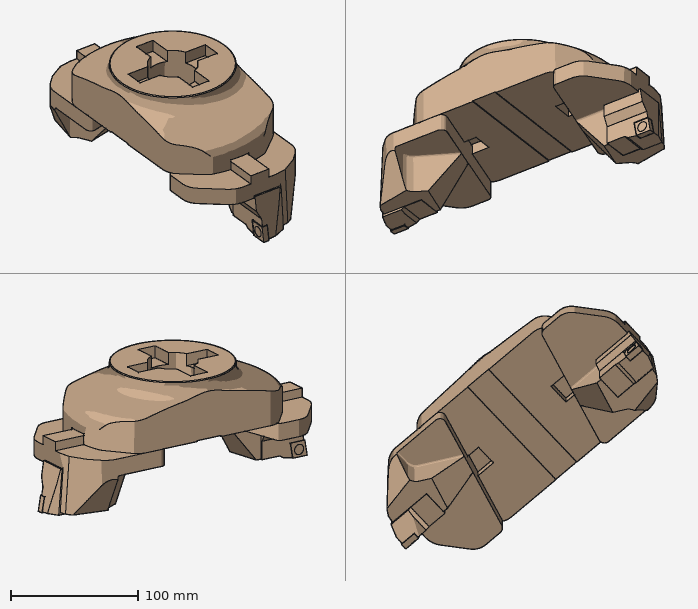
import cadquery as cq
import math


HALF_WIDTH = 52.0
KEY_WIDTH = 17.5
FAR = 150.0
PICK_REACH = 0.2

HOUSING_TOP = 50.0
HOUSING_RADIUS = 90.0
RIM_RADIUS = 50.0
RIM_HEIGHT = 3.2
RIM_CHAMFER = 0.7
NECK_FILLET = 12.0
SHOULDER_FILLET = 13.7
SHOULDER_HEIGHT = 15.0
CORNER_ANGLE = 50.0
HOUSING_FLAT_X = 65.0
HOUSING_CORNER_FILLET = 15.0
BORE_DIAMETER = 40.0
BORE_DEPTH = 35.0
CROSS_LENGTH = 75.0
CROSS_WIDTH = 16.0
CROSS_DEPTH = 10.0
KEYWAY_HEIGHT = 9.0
RELIEF_LENGTH = 22.0
RELIEF_DEPTH = 0.7

PLATE_THICKNESS = 14.2
PLATE_END = 116.2
FLARE_STOCK = 5.0
PLATE_FLAT_X = 92.0
BACK_FLAT_X = 94.0
INNER_FRONT_X = 65.7
INNER_BACK_X = 38.2
PLATE_FRONT_FILLET = 15.5
PLATE_BACK_FILLET = 17.0
PLATE_END_FILLET = 20.0
PLATE_INNER_FILLET = 5.0
KEY_HEIGHT = 7.5

BLOCK_BOTTOM = -48.0
BLOCK_FRONT_Y = 0.0
BLOCK_WALL_X = -85.7
FLUTE_START_Y = -34.5
FLUTE_ANGLE = 28.0
FLUTE_FILLET = 10.0
ROOT_FILLET = 1.5
INNER_SLOPE = ((-48.5, -12.7, -14.2), (-78.7, 0.0, -48.0), (-51.7, 0.0, -14.2))
BACK_SLOPE = ((-85.7, -37.2, -47.0), (-85.7, -52.0, -17.5), (-114.0, -31.7, -47.0))
BOTTOM_SLOPE = ((-125.0, 0.0, BLOCK_BOTTOM), (-50.0, 0.0, BLOCK_BOTTOM), (-125.0, -37.2, -47.2))
SIDE_FLARE = ((-116.2, -15.2, 0.0), (-118.0, -26.0, -47.5), (-114.5, -26.0, 0.0))
BACK_FLARE = ((-114.5, -26.0, 0.0), (-118.0, -26.0, -47.5), (-106.7, -39.0, 0.0))

TOOTH_INNER_X = -83.0
TOOTH_TOP = -12.0
TOOTH_BACK_Y = -20.0
TOOTH_SHELF_Y = 5.7
TOOTH_FACE_Y = 1.7
SHELF_BOTTOM = -24.7
TOOTH_FACE_TOP = -32.5
TOOTH_BOTTOM_FRONT = -51.5
TOOTH_BOTTOM_BACK = -49.7
TOOTH_TOP_X = -117.7
TOOTH_SHELF_X = -119.7
TOOTH_TIP = (-124.5, -51.7)
TIP_LAND_X = -111.5
HEEL_TOE = (-103.0, -50.2)
HEEL_X = -99.7
TOOTH_BACK_RELIEF = ((-117.7, -18.7, -12.0), (-124.0, -10.2, -49.7), (-120.5, -20.0, -49.7))

INSERT_FRONT_Y = 2.5
INSERT_THICKNESS = 5.2
INSERT_TOP = -39.0
INSERT_BOTTOM = -52.0
INSERT_TIP_X = -125.0
INSERT_LENGTH = 13.5
INSERT_LEAN = 2.2
SCREW_X = -117.2
SCREW_Z = -45.7
SCREW_HEAD_DIAMETER = 8.5
SCREW_SHANK_DIAMETER = 5.5
SCREW_HEAD_HEIGHT = 2.0


def beyond(first, second, third):
    """Large solid on the side of the plane through three points that they circle anticlockwise."""
    a, b, c = (cq.Vector(*point) for point in (first, second, third))
    plane = cq.Plane(origin=a, xDir=b - a, normal=(b - a).cross(c - a))
    return cq.Workplane(plane).rect(2 * FAR, 2 * FAR).extrude(FAR)


def housing_turned_shape():
    """Turned blank: rim, concave neck, conical shoulder and rounded outer edge."""
    rim_z = HOUSING_TOP - RIM_HEIGHT
    neck_x = RIM_RADIUS + NECK_FILLET
    shoulder_x = HOUSING_RADIUS - SHOULDER_FILLET
    centre_gap_x = shoulder_x - neck_x
    centre_gap_z = rim_z - SHOULDER_HEIGHT
    centre_gap = math.hypot(centre_gap_x, centre_gap_z)
    gap_lean = math.atan2(centre_gap_x, centre_gap_z)
    slope = math.acos((NECK_FILLET + SHOULDER_FILLET) / centre_gap) - gap_lean

    def neck_point(angle):
        return neck_x - NECK_FILLET * math.sin(angle), rim_z - NECK_FILLET * math.cos(angle)

    def shoulder_point(angle):
        return (
            shoulder_x + SHOULDER_FILLET * math.sin(angle),
            SHOULDER_HEIGHT + SHOULDER_FILLET * math.cos(angle),
        )

    right_angle = math.pi / 2
    return (
        cq.Workplane("XZ")
        .moveTo(0, 0)
        .lineTo(0, HOUSING_TOP)
        .lineTo(RIM_RADIUS - RIM_CHAMFER, HOUSING_TOP)
        .lineTo(RIM_RADIUS, HOUSING_TOP - RIM_CHAMFER)
        .lineTo(RIM_RADIUS, rim_z)
        .threePointArc(neck_point((slope + right_angle) / 2), neck_point(slope))
        .lineTo(*shoulder_point(slope))
        .threePointArc(shoulder_point((slope + right_angle) / 2), (HOUSING_RADIUS, SHOULDER_HEIGHT))
        .lineTo(HOUSING_RADIUS, 0)
        .close()
        .revolve(360, (0, 0, 0), (0, 1, 0))
    )


def housing_outline():
    """Prism of the housing's plan shape: long flat sides, angled corners and round ends."""
    end_y = HALF_WIDTH - (HOUSING_RADIUS - HOUSING_FLAT_X) * math.tan(math.radians(CORNER_ANGLE))
    corner = (HOUSING_FLAT_X, HALF_WIDTH)
    end = (HOUSING_RADIUS, end_y)
    points = [corner, end]
    points += [(x, -y) for x, y in reversed(points)]
    points += [(-x, -y) for x, y in points]
    ends = cq.Workplane("XY").circle(HOUSING_RADIUS).extrude(HOUSING_TOP)
    prism = cq.Workplane("XY").polyline(points).close().extrude(HOUSING_TOP)
    return prism.intersect(ends).edges("|Z").fillet(HOUSING_CORNER_FILLET)


def make_housing():
    top = cq.Workplane("XY").workplane(offset=HOUSING_TOP)
    bore = top.circle(BORE_DIAMETER / 2).extrude(-BORE_DEPTH)
    cross = top.rect(CROSS_LENGTH, CROSS_WIDTH).extrude(-CROSS_DEPTH)
    cross = cross.union(top.rect(CROSS_WIDTH, CROSS_LENGTH).extrude(-CROSS_DEPTH))
    relief = cq.Workplane("XY").rect(RELIEF_LENGTH, 2 * FAR).extrude(RELIEF_DEPTH)
    housing = housing_turned_shape().intersect(housing_outline()).cut(bore).cut(cross).cut(relief)
    for side in (-1, 1):
        keyway = cq.Workplane("XY").center(side * (INNER_BACK_X + FAR / 2), 0).rect(FAR, KEY_WIDTH)
        housing = housing.cut(keyway.extrude(KEYWAY_HEIGHT))
    return housing


def plate_prism(bottom, top):
    """Prism of the plate outline, with extra stock behind the tooth for the flared faces."""
    end_y = HALF_WIDTH - (PLATE_END - PLATE_FLAT_X) * math.tan(math.radians(CORNER_ANGLE))
    step_x = PLATE_END + FLARE_STOCK
    step_y = -HALF_WIDTH + step_x - BACK_FLAT_X
    points = [
        (-INNER_FRONT_X, HALF_WIDTH),
        (-PLATE_FLAT_X, HALF_WIDTH),
        (-PLATE_END, end_y),
        (-PLATE_END, TOOTH_BACK_Y),
        (-step_x, TOOTH_BACK_Y),
        (-step_x, step_y),
        (-BACK_FLAT_X, -HALF_WIDTH),
        (-INNER_BACK_X, -HALF_WIDTH),
    ]
    prism = cq.Workplane("XY").workplane(offset=bottom).polyline(points).close().extrude(top - bottom)

    def corner(index):
        x, y = points[index]
        return cq.selectors.BoxSelector(
            (x - PICK_REACH, y - PICK_REACH, bottom), (x + PICK_REACH, y + PICK_REACH, top)
        )

    fillets = (
        (0, PLATE_INNER_FILLET),
        (1, PLATE_FRONT_FILLET),
        (2, PLATE_END_FILLET),
        (6, PLATE_BACK_FILLET),
        (7, PLATE_INNER_FILLET),
    )
    for index, radius in fillets:
        prism = prism.edges(corner(index)).fillet(radius)
    return prism


def block_footprint():
    """Prism of the block's plan shape: flat front, flute behind it and the wall that ends the flute."""
    inner_x = -INNER_BACK_X
    rise = (inner_x - BLOCK_WALL_X) * math.tan(math.radians(FLUTE_ANGLE))
    corner = (BLOCK_WALL_X, FLUTE_START_Y)
    points = [
        (-FAR, BLOCK_FRONT_Y),
        (-FAR, -FAR),
        (BLOCK_WALL_X, -FAR),
        corner,
        (inner_x, FLUTE_START_Y + rise),
        (inner_x, BLOCK_FRONT_Y),
    ]
    prism = cq.Workplane("XY").workplane(offset=BLOCK_BOTTOM).polyline(points).close().extrude(-BLOCK_BOTTOM)
    near_corner = cq.selectors.NearestToPointSelector((*corner, BLOCK_BOTTOM / 2))
    return prism.edges("|Z").edges(near_corner).fillet(FLUTE_FILLET)


def make_tooth():
    """Tooth with a stepped front, two outer clearance slopes, a heel and a relieved back."""
    side = [
        (TOOTH_BACK_Y, TOOTH_TOP),
        (TOOTH_SHELF_Y, TOOTH_TOP),
        (TOOTH_SHELF_Y, SHELF_BOTTOM),
        (TOOTH_FACE_Y, TOOTH_FACE_TOP),
        (TOOTH_FACE_Y, TOOTH_BOTTOM_FRONT),
        (TOOTH_BACK_Y, TOOTH_BOTTOM_BACK),
    ]
    front = [
        (TOOTH_INNER_X, TOOTH_TOP),
        (TOOTH_TOP_X, TOOTH_TOP),
        (TOOTH_SHELF_X, SHELF_BOTTOM),
        TOOTH_TIP,
        (TIP_LAND_X, TOOTH_TIP[1]),
        HEEL_TOE,
        (HEEL_X, BLOCK_BOTTOM),
        (TOOTH_INNER_X, BLOCK_BOTTOM),
    ]
    tooth = cq.Workplane("YZ").polyline(side).close().extrude(-FAR)
    tooth = tooth.intersect(cq.Workplane("XZ").polyline(front).close().extrude(FAR, both=True))
    return tooth.cut(beyond(*TOOTH_BACK_RELIEF))


def root_edges():
    """Selector of the inside edges where the block's front, flute and wall meet the plate."""
    inner_x = -(INNER_FRONT_X + INNER_BACK_X) / 2
    return cq.selectors.BoxSelector(
        (BLOCK_WALL_X - PICK_REACH, -HALF_WIDTH + PICK_REACH, -PLATE_THICKNESS - PICK_REACH),
        (inner_x, BLOCK_FRONT_Y + PICK_REACH, -PLATE_THICKNESS + PICK_REACH),
    )


def make_holder():
    plate = plate_prism(-PLATE_THICKNESS, 0)
    block = plate_prism(BLOCK_BOTTOM, 0).intersect(block_footprint())
    holder = plate.union(block).edges(root_edges()).fillet(ROOT_FILLET)
    for face in (INNER_SLOPE, BACK_SLOPE, BOTTOM_SLOPE, SIDE_FLARE, BACK_FLARE):
        holder = holder.cut(beyond(*face))
    key_strip = cq.Workplane("XY").box(2 * FAR, KEY_WIDTH, 2 * KEY_HEIGHT)
    key = plate_prism(-PLATE_THICKNESS, KEY_HEIGHT).intersect(key_strip)
    return holder.union(key).union(make_tooth())


def make_insert_blank():
    points = [
        (INSERT_TIP_X, INSERT_BOTTOM),
        (INSERT_TIP_X + INSERT_LENGTH, INSERT_BOTTOM),
        (INSERT_TIP_X + INSERT_LENGTH + INSERT_LEAN, INSERT_TOP),
        (INSERT_TIP_X + INSERT_LEAN, INSERT_TOP),
    ]
    front = cq.Workplane("XZ", origin=(0, INSERT_FRONT_Y, 0))
    return front.polyline(points).close().extrude(INSERT_THICKNESS)


def make_screw():
    head = SCREW_HEAD_DIAMETER / 2
    shank = SCREW_SHANK_DIAMETER / 2
    points = [(0, 0), (head, 0), (shank, -SCREW_HEAD_HEIGHT), (shank, -INSERT_THICKNESS), (0, -INSERT_THICKNESS)]
    half_section = cq.Workplane("XY", origin=(SCREW_X, INSERT_FRONT_Y, SCREW_Z)).polyline(points).close()
    return half_section.revolve(360, (0, 0, 0), (0, 1, 0))


housing = make_housing()
screw = make_screw()
blank = make_insert_blank()
insert = blank.cut(screw)
holder = make_holder().cut(blank)

bodies = [housing.val()]
for turn in (0, 180):
    for body in (holder, insert, screw):
        bodies.append(body.val().rotate(cq.Vector(0, 0, 0), cq.Vector(0, 0, 1), turn))

result = cq.Compound.makeCompound(bodies)